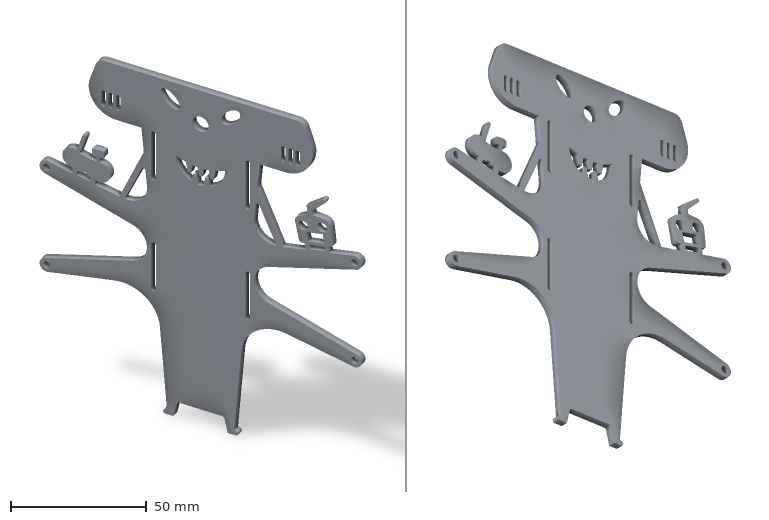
import cadquery as cq
import math


THICKNESS = 3.0
HEIGHT = 150.47
TOP_Z = HEIGHT / 2
BOTTOM_Z = -HEIGHT / 2

TIP_X = 64.5
TIP_RADIUS = 3.0
TIP_HOLE_RADIUS = 1.5
ARM_PITCH = 44.0
UPPER_TIP_Z = 19.2
LOWER_TIP_Z = UPPER_TIP_Z - ARM_PITCH
WAIST_Z = (UPPER_TIP_Z + LOWER_TIP_Z) / 2
WAIST_X = 31.0
WAIST_RADIUS = 8.5
ARMPIT_X = 33.0
ARMPIT_Z = -38.0
ARMPIT_RADIUS = 16.0

BROW_X = 40.2
BROW_RADIUS = 4.0
CHEEK_X = 35.3
CHEEK_RADIUS = 11.6
JAW_Z = 50.3
NECK_TOP_X = 24.8
NOSE_Z = 60.2
NOSE_RADIUS = 3.3
EYE_X = 12.65
EYE_Z = 67.3
EYE_HALF_LENGTH = 5.0
EYE_HALF_WIDTH = 2.5
EYE_TILT = 45.0
VENT_XS = (34.6, 37.7, 40.6)
VENT_Z = 58.2
VENT_LENGTH = 7.0
VENT_WIDTH = 2.0

STRAP_X = 19.75
STRAP_UPPER_Z = 39.2
STRAP_PITCH = 50.0
STRAP_LENGTH = 22.0
STRAP_WIDTH = 2.0

NECK_BEND = (23.8, 39.7)
STRUT_FOOT = (34.1, 16.2)
WINDOW_PIT_X = 30.4
WINDOW_PIT_Z = 23.9
WINDOW_PIT_RADIUS = 8.0
WINDOW_TOP = (23.9, 31.5)
WINDOW_TOP_RADIUS = 0.8
WINDOW_FOOT = (31.9, WINDOW_PIT_Z - WINDOW_PIT_RADIUS)

TAIL_CORNER = (14.1, -73.0)
TOE_X = 14.7
TOE_RADIUS = 1.0
HEEL_X = 11.4
NOTCH_X = 9.0
NOTCH_Z = -68.4
NOTCH_RADIUS = 1.0

SMILE_TIP = (10.3, 42.6)
SMILE_BOTTOM_Z = 32.6
LIP_MIDDLE_Z = 40.3
UPPER_TEETH_X = (-4.75, 0.0, 4.75)
LOWER_TEETH_X = (-2.5, 2.5)
TOOTH_TIP_Z = 36.7
TOOTH_TIP_HALF_WIDTH = 0.6
TOOTH_ROOT_HALF_WIDTH = 1.5
TOOTH_LENGTH = 4.7

BEETLE = [
    (-53.7, 18.0, 0),
    (-53.7, 22.6, 0),
    (-53.55, 27.2, 4.4),
    (-51.9, 31.3, 0),
    (-48.75, 38.2, 0.8),
    (-50.6, 30.1, 0),
    (-46.3, 29.0, 0),
    (-43.7, 28.9, 0),
    (-43.7, 31.0, 0),
    (-45.0, 31.5, 0.5),
    (-45.0, 33.7, 0.5),
    (-43.0, 33.7, 0.7),
    (-41.0, 33.7, 0.5),
    (-41.0, 31.5, 0.5),
    (-42.4, 31.0, 0),
    (-42.4, 28.9, 0),
    (-42.2, 24.4, 4.4),
    (-44.2, 20.2, 0),
    (-44.2, 15.0, 0),
]
BEETLE_GAP = [
    (-51.9, 20.0, 0),
    (-51.9, 21.8, 0),
    (-50.0, 21.9, 0),
    (-49.5, 22.3, 0),
    (-48.0, 22.3, 0),
    (-47.5, 21.3, 0),
    (-46.2, 20.8, 0),
    (-46.2, 18.9, 0),
]

ROBOT = [
    (44.3, 17.0, 0),
    (43.6, 21.0, 0),
    (42.3, 22.0, 1.1),
    (41.7, 30.2, 2.2),
    (44.6, 34.3, 0),
    (44.5, 37.6, 0),
    (44.1, 37.9, 0),
    (51.5, 42.4, 0.8),
    (47.4, 36.5, -0.6),
    (47.5, 35.4, -0.6),
    (51.0, 31.0, 3.6),
    (54.5, 24.0, 0.9),
    (53.5, 22.9, 0),
    (54.1, 18.0, 0),
]
ROBOT_EYES = [(43.0, 28.8), (50.9, 30.6)]
ROBOT_EYE_RADIUS = 2.0
ROBOT_MOUTH = [
    (45.0, 22.3, 0),
    (44.1, 26.3, 0),
    (51.2, 27.6, 0),
    (51.8, 23.6, 0),
]
ROBOT_GAP = [
    (46.3, 19.7, 0.6),
    (46.1, 20.6, 0.6),
    (51.4, 21.6, 0.6),
    (51.6, 20.8, 0.6),
]


def tangent_heading(start, end):
    """Heading of the line that leaves one round corner and meets the next."""
    dx = end[0] - start[0]
    dz = end[1] - start[1]
    offset = (end[2] - start[2]) / math.hypot(dx, dz)
    return math.atan2(dz, dx) + math.asin(offset)


def rim_point(corner, heading):
    """Point of a round corner where the outline runs along the heading."""
    x, z, radius = corner
    return (x - radius * math.sin(heading), z + radius * math.cos(heading))


def plate(corners):
    """Plate of full thickness, centred on Y = 0, with the given outline."""
    count = len(corners)
    headings = [tangent_heading(corners[i], corners[(i + 1) % count]) for i in range(count)]
    sketch = cq.Workplane("XZ").moveTo(*rim_point(corners[0], headings[0]))
    for i in range(1, count + 1):
        corner = corners[i % count]
        arriving = headings[i - 1]
        leaving = headings[i % count]
        sketch = sketch.lineTo(*rim_point(corner, arriving))
        if corner[2] != 0:
            sense = -math.copysign(1, corner[2])
            turn = sense * ((sense * (leaving - arriving)) % (2 * math.pi))
            middle = rim_point(corner, arriving + turn / 2)
            sketch = sketch.threePointArc(middle, rim_point(corner, leaving))
    return sketch.close().extrude(THICKNESS / 2, both=True)


def disc(x, z, radius):
    return cq.Workplane("XZ").center(x, z).circle(radius).extrude(THICKNESS / 2, both=True)


def upright_slot(x, z, length, width):
    radius = width / 2
    reach = length / 2 - radius
    return plate([(x, z - reach, radius), (x, z + reach, radius)])


def both_sides(shape):
    return shape.union(shape.mirror("YZ"))


def body():
    right_half = [
        (BROW_X, TOP_Z - BROW_RADIUS, BROW_RADIUS),
        (CHEEK_X, JAW_Z + CHEEK_RADIUS, CHEEK_RADIUS),
        (NECK_TOP_X, JAW_Z, 0),
        (*NECK_BEND, 0),
        (*STRUT_FOOT, 0),
        (TIP_X, UPPER_TIP_Z, TIP_RADIUS),
        (WAIST_X, WAIST_Z, -WAIST_RADIUS),
        (TIP_X, LOWER_TIP_Z, TIP_RADIUS),
        (ARMPIT_X, ARMPIT_Z, -ARMPIT_RADIUS),
        (*TAIL_CORNER, 0),
        (TOE_X, BOTTOM_Z + TOE_RADIUS, TOE_RADIUS),
        (HEEL_X, BOTTOM_Z, 0),
        (NOTCH_X, NOTCH_Z - NOTCH_RADIUS, -NOTCH_RADIUS),
    ]
    left_half = [(-x, z, radius) for x, z, radius in reversed(right_half)]
    return plate(right_half + left_half)


def strut_windows():
    window = plate([
        (WINDOW_PIT_X, WINDOW_PIT_Z, WINDOW_PIT_RADIUS),
        (*WINDOW_TOP, WINDOW_TOP_RADIUS),
        (*WINDOW_FOOT, 0),
    ])
    return both_sides(window)


def tip_holes():
    holes = disc(TIP_X, UPPER_TIP_Z, TIP_HOLE_RADIUS)
    holes = holes.union(disc(TIP_X, LOWER_TIP_Z, TIP_HOLE_RADIUS))
    return both_sides(holes)


def strap_slots():
    slots = cq.Workplane("XZ")
    for z in (STRAP_UPPER_Z, STRAP_UPPER_Z - STRAP_PITCH):
        slots = slots.add(upright_slot(STRAP_X, z, STRAP_LENGTH, STRAP_WIDTH))
    return both_sides(slots.combine())


def vents():
    slots = cq.Workplane("XZ")
    for x in VENT_XS:
        slots = slots.add(upright_slot(x, VENT_Z, VENT_LENGTH, VENT_WIDTH))
    return both_sides(slots.combine())


def eyes():
    eye = (
        cq.Workplane("XZ")
        .center(EYE_X, EYE_Z)
        .ellipse(EYE_HALF_LENGTH, EYE_HALF_WIDTH, rotation_angle=EYE_TILT)
        .extrude(THICKNESS / 2, both=True)
    )
    return both_sides(eye)


def tooth(x, growth):
    """Tapered tooth; growth is +1 for pointing up and -1 for pointing down."""
    root_z = TOOTH_TIP_Z - growth * TOOTH_LENGTH
    return (
        cq.Workplane("XZ")
        .moveTo(x - TOOTH_ROOT_HALF_WIDTH, root_z)
        .lineTo(x - TOOTH_TIP_HALF_WIDTH, TOOTH_TIP_Z)
        .lineTo(x + TOOTH_TIP_HALF_WIDTH, TOOTH_TIP_Z)
        .lineTo(x + TOOTH_ROOT_HALF_WIDTH, root_z)
        .close()
        .extrude(THICKNESS / 2, both=True)
    )


def mouth():
    tip_x, tip_z = SMILE_TIP
    smile = (
        cq.Workplane("XZ")
        .moveTo(-tip_x, tip_z)
        .threePointArc((0, LIP_MIDDLE_Z), (tip_x, tip_z))
        .threePointArc((0, SMILE_BOTTOM_Z), (-tip_x, tip_z))
        .close()
        .extrude(THICKNESS / 2, both=True)
    )
    for x in UPPER_TEETH_X:
        smile = smile.cut(tooth(x, -1))
    for x in LOWER_TEETH_X:
        smile = smile.cut(tooth(x, 1))
    return smile


def beetle():
    return plate(BEETLE).cut(plate(BEETLE_GAP))


def robot():
    head = plate(ROBOT).cut(plate(ROBOT_MOUTH)).cut(plate(ROBOT_GAP))
    for x, z in ROBOT_EYES:
        head = head.cut(disc(x, z, ROBOT_EYE_RADIUS))
    return head


frame = body().cut(strut_windows()).cut(tip_holes())
frame = frame.cut(strap_slots()).cut(vents())
frame = frame.cut(eyes()).cut(disc(0, NOSE_Z, NOSE_RADIUS)).cut(mouth())
result = frame.union(beetle()).union(robot())